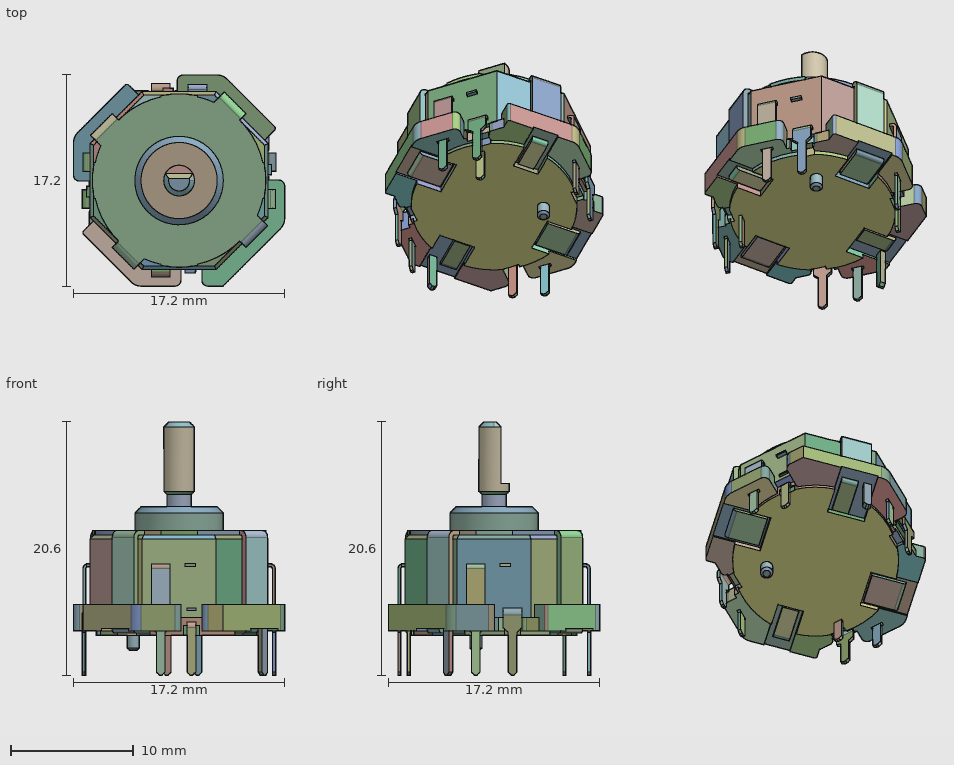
import cadquery as cq
import math


core_radius = 6.75
core_bottom = -0.38
housing_bottom = 1.08
housing_apothem = 7.25
housing_top = 7.78
housing_chamfer = 0.3

flange_apothem = 8.6
flange_top = 2.15
flange_half_side = flange_apothem * math.tan(math.pi / 8)
flange_inner_reach = 5.0
flange_diagonal_end = 2.6
flange_vertex_radius = 1.15
flange_side_end_radius = 0.5
flange_diagonal_end_radius = 0.2
flange_side_end_y = 0.16
flange_side_end_x = 0.05
flange_return_end = 1.85
sector_angles = [45, 135, 225, 315]
y_side_sectors = [45, 225]
return_sector = 315

rim_apothem = 7.32
rim_inner_reach = 6.0
rim_recess_reach = 6.95
rim_recess_start = 0.35
rim_recess_end = 2.62
rim_tab_end = 3.65
rim_tab_radius = 0.35

cover_top = 8.17
cover_radius = 6.97
cover_lobe_radius = 7.06
cover_lobe_half_width = 1.48
clip_width = 2.5
clip_outer = 7.7
clip_inner_reach = 4.8
clip_foot_bottom = -0.2
clip_foot_top = 0.2
clip_top_bend = 0.6
clip_inner_bend = 0.2
clip_bottom_bend = 0.3
narrow_foot_width = 1.38
clip_step_radius = 0.3
narrow_clip_steps = {135: 2.65, 315: housing_bottom}
pocket_inner_reach = 4.6
pocket_start = -0.33
pocket_end = 2.78
narrow_pocket_end = 1.85
narrow_pocket_sector = 135

pin_bottom = -3.62
pin_width = 0.71
pin_thickness = 0.25
pin_tip_width = 0.2
pin_tip_height = 0.25
shoulder_width = 1.52
shoulder_top = 0.24
shoulder_bottom = -0.14
terminal_root = 6.0
terminal_offset = 1.5
upper_terminal = {"top": 5.45, "outer": 7.83, "bend": 0.4}
lower_terminal = {"top": 1.85, "outer": 7.9, "bend": 0.58}
front_terminal = {"top": 0.7, "outer": 7.07, "bend": 0.42}
front_terminal_offset = 1.0
plain_pin_root = 0.5
rear_pin_reach = 5.72
rear_pin_offset = 1.0
leg_width = 0.65
leg_thickness = clip_outer - housing_apothem
leg_reach = (clip_outer + housing_apothem) / 2
leg_offset = clip_width - leg_width / 2
front_angle, right_angle, rear_angle, left_angle = 270, 0, 90, 180
side_angles = [front_angle, right_angle, rear_angle, left_angle]
lower_terminal_sides = [right_angle, rear_angle, left_angle]

notch_top = 0.44
lower_notch_width = 1.3
lower_notch_reach = 6.38
front_notch_width = 1.28
front_notch_reach = 6.5

tab_height = 0.22
upper_tab_bottom = 5.25
upper_tab_center = 0.89
upper_tab_width = 0.86
upper_tab_reach = 7.53
lower_tab_bottom = 1.63
lower_tab_reach = 7.4

boss_x = -3.73
boss_y = -1.48
boss_diameter = 1.0
boss_bottom = -1.6
boss_chamfer = 0.2

bushing_diameter = 7.2
bushing_top = 10.1
bushing_chamfer = 0.5
neck_diameter = 2.0
shaft_diameter = 2.5
shaft_bottom = 11.1
shaft_top = 17.0
shaft_bottom_chamfer = (shaft_diameter - neck_diameter) / 2
shaft_top_chamfer = 0.4
flat_bottom = 12.0
flat_offset = 0.57


def turned(shape, angle):
    return shape.rotate((0, 0, 0), (0, 0, 1), angle)


def block(reach, along, height):
    """Box between (start, end) pairs measured outward, along the face and upward."""
    spans = [end - start for start, end in (reach, along, height)]
    corner = (reach[0], along[0], height[0])
    return cq.Workplane("XY").box(*spans, centered=False).translate(corner)


def cylinder(diameter, bottom, top):
    return cq.Workplane("XY").workplane(offset=bottom).circle(diameter / 2).extrude(top - bottom)


def centered_span(center, width):
    return (center - width / 2, center + width / 2)


def housing():
    corner_diameter = 2 * housing_apothem / math.cos(math.pi / 8)
    body = cq.Workplane("XY").polygon(8, corner_diameter).extrude(housing_top - housing_bottom)
    body = turned(body, 180 / 8).translate((0, 0, housing_bottom))
    return body.faces(">Z").edges().chamfer(housing_chamfer)


def vertical_edge(reach, along):
    """Selector for the vertical edge standing at one outline point of the flange."""
    return cq.selectors.NearestToPointSelector((reach, along, flange_top / 2))


def side_point(reach, along, side):
    """Point on the face 45 degrees to one side (+1 or -1) of the +X face."""
    turn = side * math.pi / 4
    return (
        reach * math.cos(turn) - along * math.sin(turn),
        reach * math.sin(turn) + along * math.cos(turn),
    )


def flange_sector(angle):
    side_end = flange_side_end_y if angle in y_side_sectors else flange_side_end_x
    side_corner = side_point(flange_apothem, side_end, 1)
    vertex = (flange_apothem, flange_half_side)
    inner_side = side_point(flange_inner_reach, side_end, 1)
    if angle == return_sector:
        return_corner = side_point(flange_apothem, flange_return_end, -1)
        start = [
            side_point(flange_inner_reach, flange_return_end, -1),
            return_corner,
            (flange_apothem, -flange_half_side),
        ]
        rounded = [(return_corner, flange_side_end_radius)]
    else:
        diagonal_corner = (flange_apothem, -flange_diagonal_end)
        start = [(flange_inner_reach, -flange_diagonal_end), diagonal_corner]
        rounded = [(diagonal_corner, flange_diagonal_end_radius)]
    rounded += [(vertex, flange_vertex_radius), (side_corner, flange_side_end_radius)]
    sector = cq.Workplane("XY").polyline(start + [vertex, side_corner, inner_side]).close()
    sector = sector.extrude(flange_top)
    for corner, radius in rounded:
        sector = sector.edges("|Z").edges(vertical_edge(*corner)).fillet(radius)
    return turned(sector, angle)


def rim(angle):
    """Low rim with a recess in it for a lower terminal."""
    reach = (rim_inner_reach, rim_apothem)
    height = (0, housing_bottom)
    far_tab = block(reach, (rim_recess_end - rim_tab_radius, rim_tab_end), height)
    far_tab = far_tab.edges("|Z and >X and <Y").fillet(rim_tab_radius)
    near_tab = block(reach, (-flange_side_end_x, rim_recess_start), height)
    recess_floor = block(
        (rim_inner_reach, rim_recess_reach), (rim_recess_start, rim_recess_end), height
    )
    return turned(far_tab.union(near_tab).union(recess_floor), angle)


def cover_plate():
    thickness = cover_top - housing_top
    plate = cylinder(2 * cover_radius, housing_top, cover_top)
    lobes = cylinder(2 * cover_lobe_radius, housing_top, cover_top)
    length = 2 * cover_lobe_radius
    width = 2 * cover_lobe_half_width
    cross = cq.Workplane("XY").rect(length, width).extrude(thickness)
    cross = cross.union(turned(cross, 90)).translate((0, 0, housing_top))
    return plate.union(lobes.intersect(cross))


def clip(angle):
    """Strip bent down the diagonal face and inward again under the flange.

    Where the foot is narrow, the rest of the width ends at a step.
    """
    along = (0, clip_width)
    outer = block((clip_inner_reach, clip_outer), along, (clip_foot_bottom, cover_top))
    outer = outer.edges("|Y and >X and >Z").fillet(clip_top_bend)
    outer = outer.edges("|Y and >X and <Z").fillet(clip_bottom_bend)
    inner = block((clip_inner_reach, housing_apothem), along, (clip_foot_top, housing_top))
    inner = inner.edges("|Y and >X").fillet(clip_inner_bend)
    strip = outer.cut(inner)
    if angle in narrow_clip_steps:
        step_height = (clip_foot_bottom, narrow_clip_steps[angle])
        step = block((clip_inner_reach, clip_outer), (narrow_foot_width, clip_width), step_height)
        strip = strip.cut(step)
        strip = strip.edges("|X and >Y").edges("<Z").fillet(clip_step_radius)
    return turned(strip, angle)


def clip_pocket(angle):
    end = narrow_pocket_end if angle == narrow_pocket_sector else pocket_end
    along = (pocket_start, end)
    return turned(block((pocket_inner_reach, flange_apothem), along, (core_bottom, clip_foot_top)), angle)


def pin_outline(top, width):
    """Face outline of a pin: one half from its top to its narrow tip, then mirrored."""
    half = [(width / 2, top)]
    shank_width = min(width, pin_width)
    if width > shank_width:
        half += [(width / 2, shoulder_top), (shank_width / 2, shoulder_bottom)]
    half += [(shank_width / 2, pin_bottom + pin_tip_height), (pin_tip_width / 2, pin_bottom)]
    mirrored = [(-along, height) for along, height in reversed(half)]
    return cq.Workplane("YZ").polyline(half + mirrored).close()


def plain_pin(reach, offset, width, thickness, angle):
    pin = pin_outline(plain_pin_root, width).extrude(thickness)
    return turned(pin.translate((reach - thickness / 2, offset, 0)), angle)


def terminal(size, width, offset, angle):
    """Bent terminal: a leg out of the wall, a bend and a pin pointing down."""
    top, outer, bend = size["top"], size["outer"], size["bend"]
    along = (-width / 2, width / 2)
    strip = block((terminal_root, outer), along, (pin_bottom, top))
    strip = strip.edges("|Y and >X and >Z").fillet(bend)
    inner = block((terminal_root, outer - pin_thickness), along, (pin_bottom, top - pin_thickness))
    inner = inner.edges("|Y and >X and >Z").fillet(bend - pin_thickness)
    strip = strip.cut(inner).intersect(pin_outline(top, width).extrude(outer))
    return turned(strip.translate((0, offset, 0)), angle)


def terminal_notch(reach, width, offset, angle):
    along = centered_span(offset, width)
    return turned(block((reach, rim_apothem), along, (core_bottom, notch_top)), angle)


def wall_tab(reach, center, width, bottom, angle):
    along = centered_span(center, width)
    return turned(block((rim_inner_reach, reach), along, (bottom, bottom + tab_height)), angle)


def boss():
    post = cylinder(boss_diameter, boss_bottom, 0).faces("<Z").edges().chamfer(boss_chamfer)
    return post.translate((boss_x, boss_y, 0))


def shaft():
    rod = cylinder(shaft_diameter, shaft_bottom, shaft_top)
    rod = rod.faces("<Z").edges().chamfer(shaft_bottom_chamfer)
    side = (-shaft_diameter, shaft_diameter)
    rod = rod.cut(block(side, (flat_offset, shaft_diameter), (flat_bottom, shaft_top)))
    rod = rod.faces(">Z").edges().chamfer(shaft_top_chamfer)
    bushing = cylinder(bushing_diameter, cover_top, bushing_top)
    bushing = bushing.faces(">Z").edges().chamfer(bushing_chamfer)
    return rod.union(cylinder(neck_diameter, bushing_top, shaft_bottom)).union(bushing)


part = cylinder(2 * core_radius, core_bottom, housing_bottom)
for sector_angle in sector_angles:
    part = part.union(flange_sector(sector_angle))
for side_angle in lower_terminal_sides:
    part = part.union(rim(side_angle))
    part = part.cut(terminal_notch(lower_notch_reach, lower_notch_width, terminal_offset, side_angle))
part = part.cut(
    terminal_notch(front_notch_reach, front_notch_width, front_terminal_offset, front_angle)
)
for sector_angle in sector_angles:
    part = part.cut(clip_pocket(sector_angle))

part = part.union(housing()).union(cover_plate()).union(shaft()).union(boss())
for sector_angle in sector_angles:
    part = part.union(clip(sector_angle))

for side_angle in side_angles:
    part = part.union(terminal(upper_terminal, shoulder_width, -terminal_offset, side_angle))
    part = part.union(
        wall_tab(upper_tab_reach, upper_tab_center, upper_tab_width, upper_tab_bottom, side_angle)
    )
for side_angle in lower_terminal_sides:
    part = part.union(terminal(lower_terminal, shoulder_width, terminal_offset, side_angle))
part = part.union(terminal(front_terminal, pin_width, front_terminal_offset, front_angle))
part = part.union(
    wall_tab(lower_tab_reach, front_terminal_offset, pin_width, lower_tab_bottom, front_angle)
)
part = part.union(plain_pin(rear_pin_reach, rear_pin_offset, pin_width, pin_thickness, rear_angle))
part = part.union(plain_pin(leg_reach, leg_offset, leg_width, leg_thickness, return_sector))

result = part